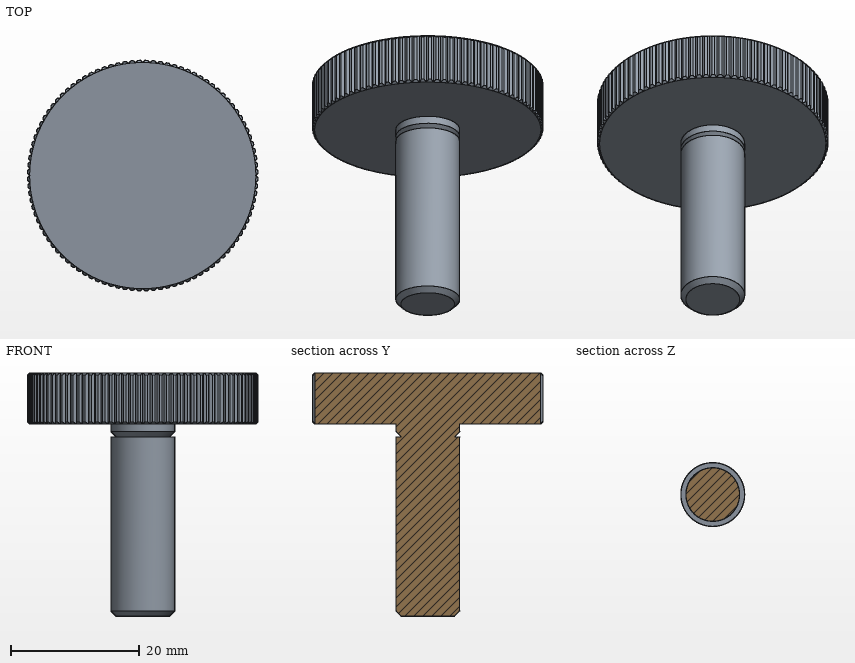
import cadquery as cq
import math

head_diameter = 36.0
head_height = 8.0

groove_count = 100
groove_side = 0.5
groove_angle = 90.0
groove_half_angle = math.radians(groove_angle / 2)
groove_depth = groove_side * math.cos(groove_half_angle)
groove_half_width = groove_side * math.sin(groove_half_angle)

head_chamfer = groove_depth

shank_diameter = 10.0
pin_chamfer = 0.8
collar_height = 2.0
total_length = 38.0

head_radius = head_diameter / 2
shank_radius = shank_diameter / 2


def make_head_blank():
    """Plain disc with both rims chamfered."""
    disc = cq.Workplane("XY").circle(head_radius).extrude(-head_height)
    return disc.faces("|Z").edges().chamfer(head_chamfer)


def make_knurl_prism():
    """Full-height toothed prism with arc lands on the head radius between V-grooves."""
    root_radius = head_radius - groove_depth
    pitch = 2 * math.pi / groove_count
    groove_half_span = math.asin(groove_half_width / head_radius)

    def polar(radius, angle):
        return (radius * math.cos(angle), radius * math.sin(angle))

    outline = cq.Workplane("XY").moveTo(*polar(root_radius, 0))
    for tooth in range(groove_count):
        start = tooth * pitch
        end = start + pitch
        outline = outline.lineTo(*polar(head_radius, start + groove_half_span))
        outline = outline.threePointArc(
            polar(head_radius, start + pitch / 2),
            polar(head_radius, end - groove_half_span),
        )
        if tooth < groove_count - 1:
            outline = outline.lineTo(*polar(root_radius, end))
    return outline.close().extrude(-head_height)


def make_pin(top_z, bottom_z):
    """Round pin with a chamfer on its lower rim."""
    pin = cq.Workplane("XY", origin=(0, 0, top_z)).circle(shank_radius).extrude(bottom_z - top_z)
    return pin.faces("<Z").edges().chamfer(pin_chamfer)


head = make_knurl_prism().intersect(make_head_blank())

collar_bottom = -head_height - collar_height
collar = make_pin(-head_height, collar_bottom)
shank = make_pin(collar_bottom, -total_length)

result = head.union(collar).union(shank)